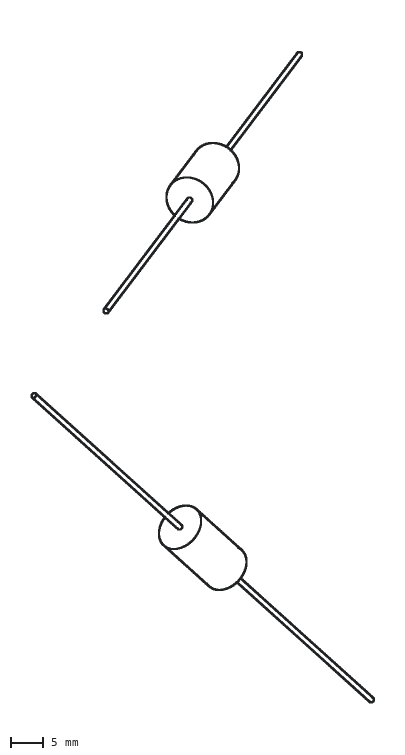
import cadquery as cq

body_diameter = 7.5
body_length = 14.0
lead_diameter = 0.85
lead_length = 45.0

overall_length = body_length + 2 * lead_length


def centred_rod(diameter, length):
    """Round rod along Y, centred on the origin."""
    return cq.Workplane("XZ", origin=(0, length / 2, 0)).circle(diameter / 2).extrude(length)


body = centred_rod(body_diameter, body_length)

lead_wire = centred_rod(lead_diameter, overall_length)

result = body.union(lead_wire)